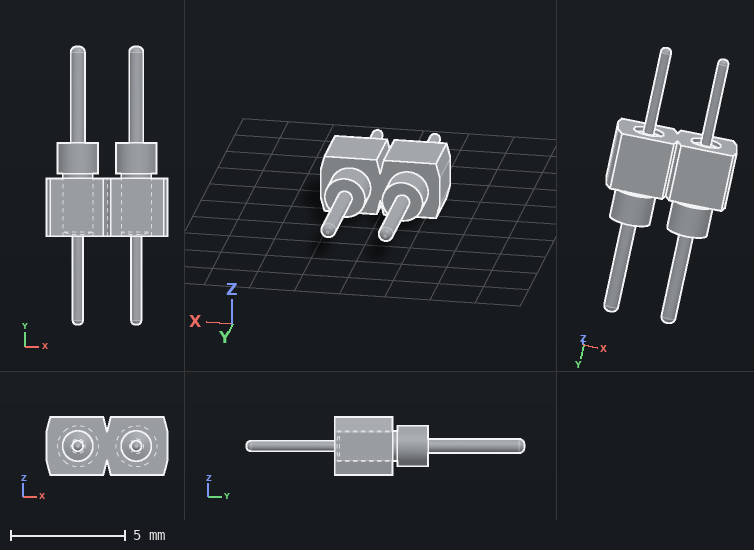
import cadquery as cq
import math

contact_count = 2
pitch = 2.55
housing_width = 5.28
housing_height = 2.55
housing_depth = 2.53
end_flat_height = 1.26
end_inset = 0.17
notch_half_width = 0.16
notch_depth = 0.64

bore_diameter = 1.32
tail_diameter = 0.46
tail_length = 3.84
tail_round = 0.19
cone_rim_depth = 0.2
cone_length = 0.12
collar_diameter = 1.78
collar_length = 1.33
neck_gap = 0.2
post_diameter = 0.63
post_round = 0.27
overall_length = 12.12

collar_start = housing_depth + neck_gap
collar_end = collar_start + collar_length
post_end = overall_length - tail_length
contact_positions = [(i - (contact_count - 1) / 2) * pitch for i in range(contact_count)]


def xz_plane(y):
    """Plane facing +Y at the given Y, with its local x along -X."""
    return cq.Plane(origin=(0, y, 0), xDir=(-1, 0, 0), normal=(0, 1, 0))


def make_housing():
    half_width = housing_width / 2
    half_height = housing_height / 2
    half_flat = end_flat_height / 2
    block = (
        cq.Workplane(xz_plane(0))
        .moveTo(half_width, -half_flat)
        .lineTo(half_width, half_flat)
        .lineTo(half_width - end_inset, half_height)
        .lineTo(end_inset - half_width, half_height)
        .lineTo(-half_width, half_flat)
        .lineTo(-half_width, -half_flat)
        .lineTo(end_inset - half_width, -half_height)
        .lineTo(half_width - end_inset, -half_height)
        .close()
        .extrude(housing_depth)
    )

    for left, right in zip(contact_positions, contact_positions[1:]):
        middle = (left + right) / 2
        for side in (-1, 1):
            notch = (
                cq.Workplane(xz_plane(0))
                .moveTo(-middle - notch_half_width, side * half_height)
                .lineTo(-middle + notch_half_width, side * half_height)
                .lineTo(-middle, side * (half_height - notch_depth))
                .close()
                .extrude(housing_depth)
            )
            block = block.cut(notch)

    bores = (
        cq.Workplane(xz_plane(0))
        .pushPoints([(x, 0) for x in contact_positions])
        .circle(bore_diameter / 2)
        .extrude(housing_depth)
    )
    return block.cut(bores)


def make_pin(x):
    tail_radius = tail_diameter / 2
    body_radius = bore_diameter / 2
    collar_radius = collar_diameter / 2
    post_radius = post_diameter / 2
    arc_part = math.sqrt(0.5)

    profile = (
        cq.Workplane("XY")
        .moveTo(0, -tail_length)
        .lineTo(tail_radius - tail_round, -tail_length)
        .threePointArc(
            (tail_radius - tail_round * (1 - arc_part), -tail_length + tail_round * (1 - arc_part)),
            (tail_radius, -tail_length + tail_round),
        )
        .lineTo(tail_radius, cone_rim_depth - cone_length)
        .lineTo(body_radius, cone_rim_depth)
        .lineTo(body_radius, collar_start)
        .lineTo(collar_radius, collar_start)
        .lineTo(collar_radius, collar_end)
        .lineTo(post_radius, collar_end)
        .lineTo(post_radius, post_end - post_round)
        .threePointArc(
            (post_radius - post_round * (1 - arc_part), post_end - post_round * (1 - arc_part)),
            (post_radius - post_round, post_end),
        )
        .lineTo(0, post_end)
        .close()
    )
    return profile.revolve(360, (0, 0, 0), (0, 1, 0)).translate((x, 0, 0))


housing = make_housing()
pins = [make_pin(x) for x in contact_positions]

result = cq.Compound.makeCompound([housing.val(), *[pin.val() for pin in pins]])